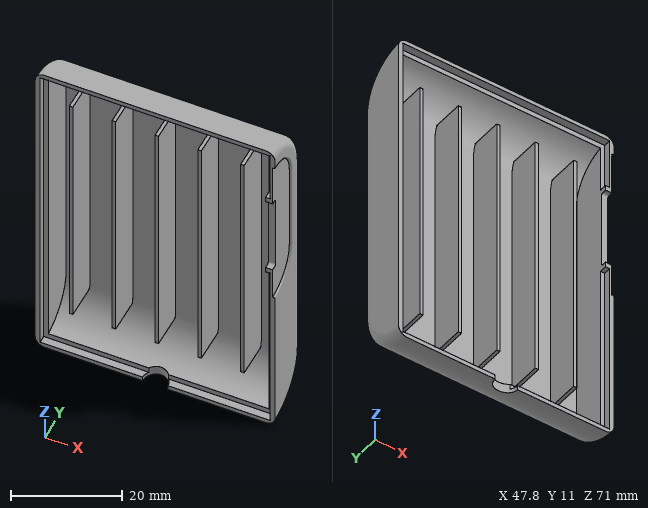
import cadquery as cq

width = 47.8
depth = 11.0
height = 71.0
side_wall = 1.9
back_wall = 2.0
edge_fillet = 2.0

lip = 1.0
rim_depth = 1.55

rib_count = 5
rib_pitch = 8.5
rib_thickness = 0.7
rib_length = 54.1
rib_front = 1.8
rib_center_x = -0.5
rib_center_z = 0.65

port_center_z = 13.6
port_length = 17.2
port_depth = 1.3
port_corner = 0.5
port_surround = 1.15
recess_center_z = 14.8
recess_radius = 7.0
recess_straight = 19.5
recess_depth = 0.5
recess_edge_fillet = 0.4

notch_radius = 2.5


def box(x_start, x_end, y_start, y_end, z_start, z_end):
    """Axis-aligned block between two opposite corners."""
    return cq.Workplane("XY").box(
        x_end - x_start, y_end - y_start, z_end - z_start, centered=False
    ).translate((x_start, y_start, z_start))


def rounded_tray(tray_width, radius):
    """Block whose two back edges are quarter rounds about centers on the open face."""
    arc_center_z = height / 2 - depth
    half_height = arc_center_z + radius
    limits = box(-tray_width / 2, tray_width / 2, 0, radius, -half_height, half_height)
    tray = box(-tray_width / 2, tray_width / 2, 0, radius, -arc_center_z, arc_center_z)
    for side in (-1, 1):
        cylinder = (
            cq.Workplane("YZ", origin=(-tray_width / 2, 0, side * arc_center_z))
            .circle(radius)
            .extrude(tray_width)
        )
        tray = tray.union(cylinder)
    return tray.intersect(limits)


def rim_step():
    """Shallow widening of the opening, interrupted around the port."""
    half_width = width / 2 - lip
    half_height = height / 2 - lip
    step = box(-half_width, half_width, 0, rim_depth, -half_height, half_height)
    half_block = port_length / 2 + port_surround
    surround = box(
        width / 2 - side_wall, width / 2, 0, rim_depth,
        port_center_z - half_block, port_center_z + half_block,
    )
    return step.cut(surround)


def ribs(tray):
    """Evenly spaced vertical ribs, trimmed to the outer body."""
    rib_depth = depth - back_wall / 2 - rib_front
    blades = (
        cq.Workplane("XY", origin=(rib_center_x, rib_front + rib_depth / 2, rib_center_z))
        .rarray(rib_pitch, 0.7, rib_count, 1)
        .rect(rib_thickness, rib_depth)
        .extrude(rib_length / 2, both=True)
    )
    return blades.intersect(tray)


def finger_recess():
    """Half of a stadium sunk into the outside of the +X wall."""
    return (
        cq.Workplane("YZ", origin=(width / 2 - recess_depth, 0, recess_center_z))
        .slot2D(recess_straight + 2 * recess_radius, 2 * recess_radius, 90)
        .extrude(recess_depth)
    )


def recess_mouth():
    """Selector for the recess edges on the outside of the +X wall."""
    half_length = recess_straight / 2 + recess_radius
    margin = recess_depth / 2
    return cq.selectors.BoxSelector(
        (width / 2 - margin, margin, recess_center_z - half_length - margin),
        (width / 2 + margin, recess_radius + margin, recess_center_z + half_length + margin),
    )


def port():
    """Notch through the +X wall with rounded inner corners."""
    half = port_length / 2
    return (
        box(width / 2 - side_wall, width / 2, -port_depth, port_depth,
            port_center_z - half, port_center_z + half)
        .edges("|X")
        .fillet(port_corner)
    )


def cable_notch():
    """Half-round notch through the -Z wall."""
    return (
        cq.Workplane("XY", origin=(0, 0, -height / 2))
        .circle(notch_radius)
        .extrude(2 * back_wall)
    )


outer = rounded_tray(width, depth)
body = outer.faces("<X or >X").edges("not <Y").fillet(edge_fillet)
body = body.cut(rounded_tray(width - 2 * side_wall, depth - back_wall))
body = body.cut(rim_step())
body = body.union(ribs(outer))
body = body.cut(finger_recess())
body = body.edges(recess_mouth()).fillet(recess_edge_fillet)
body = body.cut(port())
result = body.cut(cable_notch())